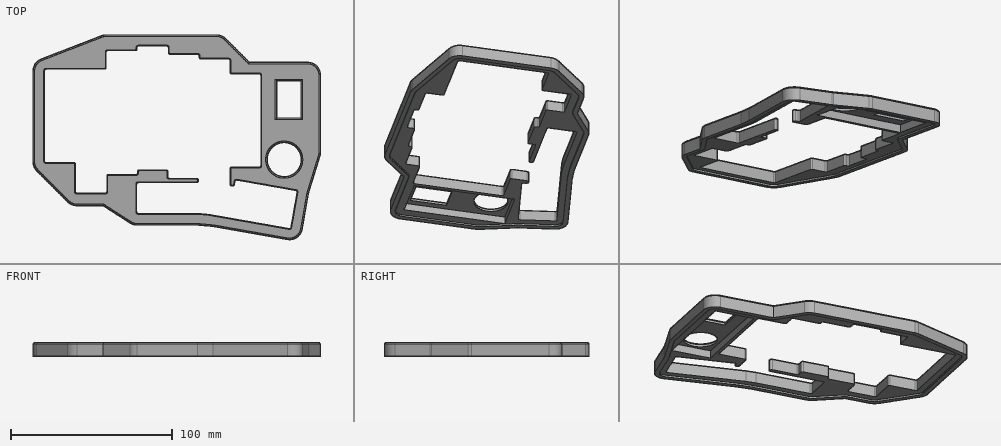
import cadquery as cq
import math

LENGTH = 177.85
WIDTH = 126.75
HEIGHT = 8.7
LEFT = -LENGTH / 2
RIGHT = LENGTH / 2
BACK = WIDTH / 2
FRONT = -WIDTH / 2

PITCH = 19.05
GRID_LEFT = -81.55
CLEARANCE = 0.2
THUMB_TILT = 10.0

CORNER_RADIUS = 8.0
OUTER_CHAMFER = 1.0
OPENING_RADIUS = 1.0
OPENING_CHAMFER = 0.5

SEAT_DEPTH = 1.2
SEAT_RIM = 3.0

SHOULDER_Y = 46.45
BACK_LEFT_X = -45.2
BACK_RIGHT_X = 27.95
LEFT_FRONT_Y = -18.5
FRONT_STEP_Y = -42.35
FRONT_STEP_X = -45.5
THUMB_FRONT_Y = -54.32
THUMB_FRONT_X = -26.9
BEND_START_X = 12.9
RIGHT_FRONT_Y = -10.5
RIGHT_WAIST = (81.5, -34.5)

THUMB_CORNER = (69.75, FRONT + CORNER_RADIUS)

COLUMN_BACK = [42.1, 42.1, 53.6, 56.45, 51.3, 48.4, 39.2]
FIRST_COLUMN_FRONT = -15.6
SECOND_COLUMN_FRONT = -34.5
THIRD_COLUMN_FRONT = -23.0
FOURTH_COLUMN_FRONT = -20.1
BEAM_BACK = -25.35
LAST_COLUMN_FRONT = -18.4

THUMB_OPENING_LEFT = -24.75
BEAM_THICKNESS = 2.75
BEAM_TIP_X = 13.5
TIP_RADIUS = 1.3
THUMB_FLOOR_Y = -47.1
HOOK_TIP_Y = -30.2
THUMB_RIGHT = 0.85
THUMB_LEFT = -38.1
THUMB_FLOOR = -1.1
THUMB_BACK = 22.8

WINDOW_CENTRE = (69.3, 23.4)
WINDOW_SIZE = (14.8, 22.9)
DIAL_CENTRE = (66.45, -13.8)
DIAL_DIAMETER = 21.0
PANEL_CHAMFER = 1.0
PANEL_THICKNESS = 2.5
RECESS_RIM = 8.4
RECESS_LEFT = 54.0
RECESS_FRONT = -26.0

SELECT_MARGIN = 0.01


def tilted(x, y):
    """Point given in the tilted thumb axes, in part coordinates."""
    angle = math.radians(-THUMB_TILT)
    return (
        THUMB_CORNER[0] + x * math.cos(angle) - y * math.sin(angle),
        THUMB_CORNER[1] + x * math.sin(angle) + y * math.cos(angle),
    )


def crossing(first, first_angle, second, second_angle):
    """Crossing of two lines, each given by a point and its direction in degrees."""
    ax, ay = math.cos(math.radians(first_angle)), math.sin(math.radians(first_angle))
    bx, by = math.cos(math.radians(second_angle)), math.sin(math.radians(second_angle))
    dx, dy = second[0] - first[0], second[1] - first[1]
    along = (dx * by - dy * bx) / (ax * by - ay * bx)
    return (first[0] + along * ax, first[1] + along * ay)


def near(points):
    """Selector for the vertical edges standing on the given points."""
    selector = None
    for x, y in points:
        low = (x - SELECT_MARGIN, y - SELECT_MARGIN, 0)
        high = (x + SELECT_MARGIN, y + SELECT_MARGIN, HEIGHT)
        box = cq.selectors.BoxSelector(low, high)
        selector = box if selector is None else selector + box
    return selector


def prism(points):
    """Solid of full height on a closed outline of straight sides."""
    return cq.Workplane("XY").polyline(points).close().extrude(HEIGHT)


def outer_body():
    """Solid plate with rounded corners and a chamfered top edge."""
    half_tilt = THUMB_TILT / 2
    bend_start = (BEND_START_X, THUMB_FRONT_Y)
    bend_end = crossing(bend_start, -half_tilt, tilted(0, -CORNER_RADIUS), -THUMB_TILT)
    shoulder_run = BACK - SHOULDER_Y
    rounded = [
        (LEFT, SHOULDER_Y),
        (BACK_LEFT_X, BACK),
        (BACK_RIGHT_X, BACK),
        (RIGHT, SHOULDER_Y),
        (RIGHT, RIGHT_FRONT_Y),
        RIGHT_WAIST,
        tilted(CORNER_RADIUS, -CORNER_RADIUS),
        (THUMB_FRONT_X, THUMB_FRONT_Y),
        (LEFT + LEFT_FRONT_Y - FRONT_STEP_Y, FRONT_STEP_Y),
        (LEFT, LEFT_FRONT_Y),
    ]
    outline = (
        rounded[:3]
        + [(BACK_RIGHT_X + shoulder_run, SHOULDER_Y)]
        + rounded[3:7]
        + [bend_end, bend_start]
        + rounded[7:8]
        + [(FRONT_STEP_X, FRONT_STEP_Y)]
        + rounded[8:]
    )
    body = prism(outline).edges(near(rounded)).fillet(CORNER_RADIUS)
    return body.faces(">Z").edges().chamfer(OUTER_CHAMFER)


def key_opening():
    """Stepped key opening joined to the tilted thumb opening, as one cutter."""
    left_wall = [GRID_LEFT + PITCH * i - CLEARANCE for i in range(len(COLUMN_BACK))]
    right_wall = [GRID_LEFT + PITCH * i + CLEARANCE for i in range(len(COLUMN_BACK) + 1)]
    back = [(left_wall[0], COLUMN_BACK[0])]
    for i in range(1, len(COLUMN_BACK)):
        before, after = COLUMN_BACK[i - 1], COLUMN_BACK[i]
        if before != after:
            step_x = left_wall[i] if after > before else right_wall[i]
            back += [(step_x, before), (step_x, after)]
    back.append((right_wall[-1], COLUMN_BACK[-1]))
    beam_front = BEAM_BACK - BEAM_THICKNESS
    hook_tip = crossing((0, HOOK_TIP_Y), 0, tilted(THUMB_LEFT, 0), 90 - THUMB_TILT)
    half_tilt = THUMB_TILT / 2
    miter_shift = (THUMB_FLOOR_Y - THUMB_FRONT_Y) * math.tan(math.radians(half_tilt / 2))
    bend_start = (BEND_START_X + miter_shift, THUMB_FLOOR_Y)
    bend_end = crossing(bend_start, -half_tilt, tilted(0, THUMB_FLOOR), -THUMB_TILT)
    tips = [
        (BEAM_TIP_X, BEAM_BACK),
        (BEAM_TIP_X, beam_front),
        hook_tip,
        (right_wall[6], HOOK_TIP_Y),
    ]
    right = [
        (right_wall[-1], LAST_COLUMN_FRONT),
        (right_wall[6], LAST_COLUMN_FRONT),
        tips[3],
        tips[2],
        tilted(THUMB_LEFT, THUMB_BACK),
        tilted(THUMB_RIGHT, THUMB_BACK),
        tilted(THUMB_RIGHT, THUMB_FLOOR),
    ]
    front = [
        (THUMB_OPENING_LEFT, THUMB_FLOOR_Y),
        (THUMB_OPENING_LEFT, beam_front),
        tips[1],
        tips[0],
        (left_wall[4], BEAM_BACK),
        (left_wall[4], FOURTH_COLUMN_FRONT),
        (right_wall[3], FOURTH_COLUMN_FRONT),
        (right_wall[3], THIRD_COLUMN_FRONT),
        (right_wall[2], THIRD_COLUMN_FRONT),
        (right_wall[2], SECOND_COLUMN_FRONT),
        (left_wall[1], SECOND_COLUMN_FRONT),
        (left_wall[1], FIRST_COLUMN_FRONT),
        (left_wall[0], FIRST_COLUMN_FRONT),
    ]
    rounded = [p for p in back + right + front if p not in tips]
    opening = prism(back + right + [bend_end, bend_start] + front)
    opening = opening.edges(near(rounded)).fillet(OPENING_RADIUS)
    return opening.edges(near(tips)).fillet(TIP_RADIUS)


def cut_and_chamfer(body, cutter, chamfer):
    """Cut an opening through the body and chamfer its top edge."""
    old = body.faces(">Z").val().innerWires()
    body = body.cut(cutter)
    wires = body.faces(">Z").val().innerWires()
    new = [w for w in wires if all((w.Center() - o.Center()).Length > SELECT_MARGIN for o in old)]
    edges = [edge for wire in new for edge in wire.Edges()]
    return body.newObject(edges).chamfer(chamfer)


def plate_seat(body):
    """Shallow hollow in the underside that follows the outline inside the rim."""
    outline = body.faces("<Z").wires().toPending()
    return outline.offset2D(-SEAT_RIM).extrude(SEAT_DEPTH, combine=False)


def window():
    return cq.Workplane("XY").center(*WINDOW_CENTRE).rect(*WINDOW_SIZE).extrude(HEIGHT)


def dial_hole():
    return cq.Workplane("XY").center(*DIAL_CENTRE).circle(DIAL_DIAMETER / 2).extrude(HEIGHT)


def recess():
    """Hollow in the underside that thins the panel around the window and the dial."""
    right = RIGHT - RECESS_RIM
    back = SHOULDER_Y - RECESS_RIM
    size = (right - RECESS_LEFT, back - RECESS_FRONT, HEIGHT - PANEL_THICKNESS)
    return cq.Workplane("XY").box(*size, centered=False).translate((RECESS_LEFT, RECESS_FRONT, 0))


result = outer_body()
result = result.cut(plate_seat(result))
result = cut_and_chamfer(result, key_opening(), OPENING_CHAMFER)
result = cut_and_chamfer(result, window(), PANEL_CHAMFER)
result = cut_and_chamfer(result, dial_hole(), PANEL_CHAMFER)
result = result.cut(recess())